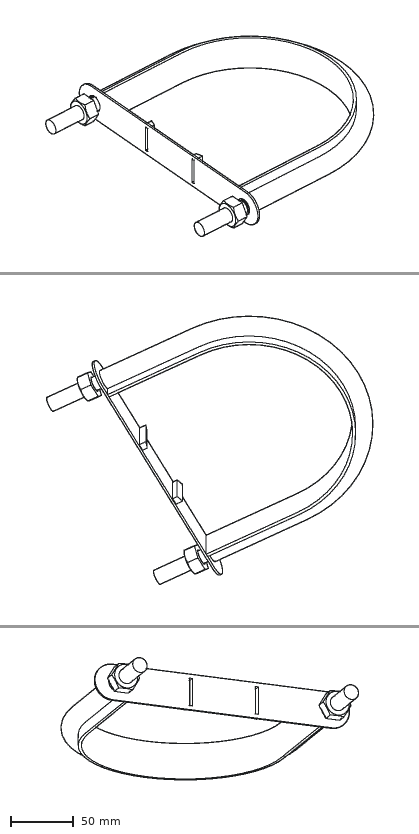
import cadquery as cq
import math


overall_length = 230.0
bolt_offset = 90.5
stud_length = 47.0

plate_length = 218.0
plate_width = 30.0
plate_thickness = 1.8
plate_shift = -1.4

louvre_offset = 28.3
louvre_wall = 1.5
slot_width = 2.5
slot_length = 23.0
louvre_high = 7.8
louvre_low = 6.0

rod_diameter = 13.8
neck_diameter = 11.3
stud_diameter = 12.5
shoulder_length = 1.1

sleeve_wall = 1.1
band_inner_radius = 82.3
band_thickness = 2.5

nut_across_flats = 20.7
nut_height = 10.3
nut_gap = 7.0
nut_face_diameter = 19.8
nut_chamfer_angle = 30.0

sleeve_radius = rod_diameter / 2 + sleeve_wall
arc_center_y = overall_length - stud_length - bolt_offset - sleeve_radius


def u_path(radius, start_y):
    """Path up one leg, around the half circle and down the other leg."""
    return (
        cq.Workplane("XY")
        .moveTo(-radius, start_y)
        .lineTo(-radius, arc_center_y)
        .threePointArc((0, arc_center_y + radius), (radius, arc_center_y))
        .lineTo(radius, start_y)
    )


def u_tube(radius, start_y):
    """Round bar of the given radius bent along the bolt axis."""
    return (
        cq.Workplane("XZ", origin=(-bolt_offset, start_y, 0))
        .circle(radius)
        .sweep(u_path(bolt_offset, start_y))
    )


def leg_cylinder(x, diameter, start_y, end_y):
    """Cylinder on a leg axis, running toward -Y from start_y to end_y."""
    return (
        cq.Workplane("XZ", origin=(x, start_y, 0))
        .circle(diameter / 2)
        .extrude(start_y - end_y)
    )


def u_block(radius):
    """Solid U-shaped block as deep in Z as the plate is wide."""
    return u_path(radius, plate_thickness).close().extrude(plate_width / 2, both=True)


def make_u_bolt():
    bolt = u_tube(rod_diameter / 2, plate_thickness)
    shoulder = leg_cylinder(bolt_offset, rod_diameter, plate_thickness, -shoulder_length)
    bolt = bolt.union(shoulder)
    for x in (-bolt_offset, bolt_offset):
        neck = leg_cylinder(x, neck_diameter, plate_thickness, -nut_gap)
        stud = leg_cylinder(x, stud_diameter, -nut_gap, -stud_length)
        bolt = bolt.union(neck).union(stud)
    return bolt


def make_liner():
    band = u_block(band_inner_radius + band_thickness)
    sleeve = u_tube(sleeve_radius, plate_thickness)
    bore = u_tube(rod_diameter / 2, plate_thickness)
    return band.union(sleeve).cut(u_block(band_inner_radius)).cut(bore)


def louvre_prism(side, width, length, drop):
    """Prism with a roof sloping down toward the centre, lowered by drop."""
    slope = (louvre_high - louvre_low) / (slot_width + 2 * louvre_wall)
    middle_height = (louvre_high + louvre_low) / 2 - drop
    half_rise = slope * width / 2
    inner_x = side * (louvre_offset - width / 2)
    outer_x = side * (louvre_offset + width / 2)
    return (
        cq.Workplane("XY")
        .moveTo(inner_x, 0)
        .lineTo(outer_x, 0)
        .lineTo(outer_x, middle_height + half_rise)
        .lineTo(inner_x, middle_height - half_rise)
        .close()
        .extrude(length / 2, both=True)
    )


def make_plate():
    plate = (
        cq.Workplane("XZ", origin=(plate_shift, 0, 0))
        .slot2D(plate_length, plate_width)
        .extrude(-plate_thickness)
    )
    for side in (-1, 1):
        hood_width = slot_width + 2 * louvre_wall
        hood_length = slot_length + 2 * louvre_wall
        plate = plate.union(louvre_prism(side, hood_width, hood_length, 0))
        plate = plate.cut(louvre_prism(side, slot_width, slot_length, louvre_wall))
    neck_clearance = (rod_diameter - neck_diameter) / 2
    for hole_x in (-bolt_offset - neck_clearance, bolt_offset):
        plate = plate.cut(leg_cylinder(hole_x, rod_diameter, plate_thickness, 0))
    return plate


def make_nut(x):
    corner_radius = nut_across_flats / math.sqrt(3)
    face_radius = nut_face_diameter / 2
    chamfer_height = (corner_radius - face_radius) * math.tan(math.radians(nut_chamfer_angle))
    end_y = -nut_gap - nut_height
    nut = (
        cq.Workplane("XZ", origin=(x, -nut_gap, 0))
        .polygon(6, 2 * corner_radius)
        .extrude(nut_height)
    )
    envelope = (
        cq.Workplane("XY", origin=(x, 0, 0))
        .moveTo(0, -nut_gap)
        .lineTo(corner_radius, -nut_gap)
        .lineTo(corner_radius, end_y + chamfer_height)
        .lineTo(face_radius, end_y)
        .lineTo(0, end_y)
        .close()
        .revolve(360, (0, 0, 0), (0, 1, 0))
    )
    return nut.intersect(envelope).cut(leg_cylinder(x, stud_diameter, -nut_gap, end_y))


u_bolt = make_u_bolt()
liner = make_liner()
plate = make_plate()
nuts = [make_nut(x) for x in (-bolt_offset, bolt_offset)]

result = cq.Compound.makeCompound(
    [u_bolt.val(), liner.val(), plate.val(), *[nut.val() for nut in nuts]]
)